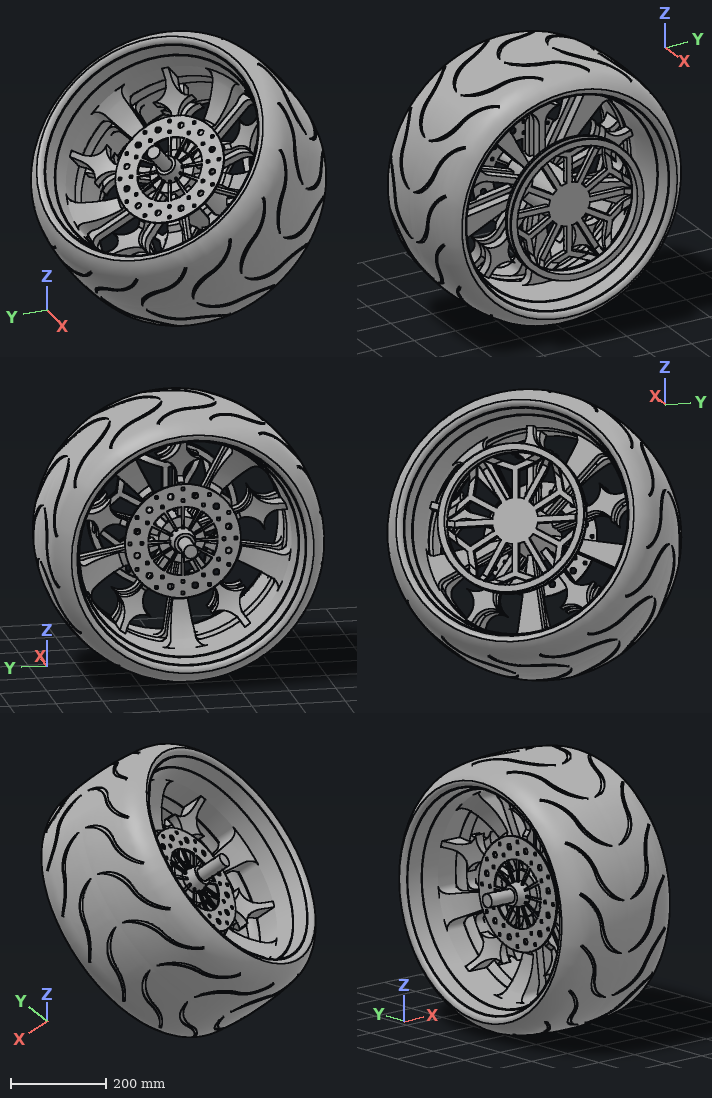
import cadquery as cq
import math


tyre_r = 300.0
half_width = 150.5
shoulder_x, shoulder_r = 98.5, 293.0
sidewall_r = 260.0
crown_mid_x, crown_mid_r = 49.0, 298.0
shoulder_mid_x, shoulder_mid_r = 128.0, 282.0

groove_count = 16
groove_depth = 3.5
groove_angle = 21.7
groove_plane_y = -240.0
groove_tool_length = 90.0
groove_outer_ends = (-116.5, 69.0), (-114.0, 72.0)
groove_outer_mids = (-88.0, 37.0), (-84.0, 41.5)
groove_waist = (-74.0, -3.0), (-66.5, -3.0)
groove_inner_mids = (-57.0, -47.0), (-51.5, -41.0)
groove_tip = (-11.0, -74.0)

bead_x, bead_r = 141.5, 246.0
lip_mid_x, lip_mid_r = 148.0, 251.0
barrel_x, barrel_r = 109.0, 237.0
rim_step = 2.5

window_r = 228.0
window_front_x = -71.0
window_back_x = -21.5
dish_mid_x, dish_mid_r = -24.5, 162.0
valley_x, valley_r = -18.0, 134.5
boss_x, boss_r = -27.0, 122.5
web_back_x, web_back_r = -8.5, 198.0

rear_web_front_x = 9.5
rear_web_back_x = 33.0
relief_r = barrel_r - 3.0
relief_x = window_back_x + 6.0
relief_mid_x, relief_mid_r = 0.0, 231.5

spoke_count = 5
first_spoke_angle = -90.0
spoke_corner_r = 17.0
spoke_half_per_radius = 0.14
spoke_half_offset = -2.5
star_arm_half = 7.0
star_inner_r = 139.0
star_inner_mid = (161.0, 17.5)
star_tip = (173.5, 44.5)
star_outer_mid = (185.0, 19.0)
star_outer_r = 210.0
window_tool_half = 120.0

hub_r = 100.0 / 2
hub_front_x = -36.0
nose_x = -68.0
nose_base_r = 27.0
nose_face_r = 22.0
shaft_x = -132.0
shaft_r = 30.0 / 2

disc_r = 248.5 / 2
disc_x = -48.0
disc_thick = 3.5
disc_bore_r = 74.5
arm_count = 12
arm_pitch = 360 / arm_count
disc_arm_outer_w = 6.5
disc_arm_inner_w = 3.5
small_hole_r = 7.0 / 2
small_hole_circles = (88.0, 113.5)
big_hole_r = 12.5 / 2
big_hole_circle = 101.5

pulley_x = 159.5
pulley_end_x = 184.0
pulley_r = 300.0 / 2
flange_r = 320.0 / 2
pulley_bore_r = 290.0 / 2
front_flange_thick = 6.5
rear_flange_thick = 4.0

spider_r = 146.5
spider_edge_x = 155.5
spider_mid_x, spider_mid_r = 144.0, 137.5
spider_front_x, spider_front_r = 138.0, 108.0
spider_back_x, spider_back_r = 150.0, 132.0
spider_arm_w = 13.0
fork_r = 113.5
fork_end_angle = 5.0

overlap = 6.0


def turned(outline):
    """Solid of revolution about X from an open outline of (x, radius) points."""
    return outline.close().revolve(360, (0, 0, 0), (1, 0, 0))


def facing_x(x):
    """Workplane at `x` whose local axes are Y and Z."""
    return cq.Workplane("YZ", origin=(x, 0, 0))


def cylinder(radius, x_start, x_end):
    return facing_x(x_start).circle(radius).extrude(x_end - x_start)


def ring(outer, inner, x_start, x_end):
    return facing_x(x_start).circle(outer).circle(inner).extrude(x_end - x_start)


def spun(shape, angle):
    return shape.rotate((0, 0, 0), (1, 0, 0), angle)


def circular_pattern(shape, count, start=0.0):
    copies = cq.Workplane("YZ")
    for i in range(count):
        copies = copies.add(spun(shape, start + 360 * i / count))
    return copies.combine()


def crown(drop):
    """Open tread outline from the -X sidewall to the +X sidewall, lowered by `drop`."""
    return (
        cq.Workplane("XY")
        .moveTo(-half_width, sidewall_r - drop)
        .threePointArc((-shoulder_mid_x, shoulder_mid_r - drop), (-shoulder_x, shoulder_r - drop))
        .threePointArc((-crown_mid_x, crown_mid_r - drop), (0, tyre_r - drop))
        .threePointArc((crown_mid_x, crown_mid_r - drop), (shoulder_x, shoulder_r - drop))
        .threePointArc((shoulder_mid_x, shoulder_mid_r - drop), (half_width, sidewall_r - drop))
    )


def tyre_and_rim():
    """Tyre and stepped rim, turned as one ring."""
    return turned(
        crown(0)
        .threePointArc((lip_mid_x, lip_mid_r), (bead_x, bead_r))
        .lineTo(bead_x, bead_r - rim_step)
        .lineTo(barrel_x, barrel_r)
        .lineTo(barrel_x, barrel_r - rim_step)
        .lineTo(rear_web_back_x, window_r)
        .lineTo(rear_web_front_x, window_r)
        .threePointArc((relief_mid_x, relief_mid_r), (relief_x, relief_r))
        .lineTo(window_back_x, window_r)
        .lineTo(window_front_x, window_r)
        .lineTo(-barrel_x, barrel_r - rim_step)
        .lineTo(-barrel_x, barrel_r)
        .lineTo(-bead_x, bead_r - rim_step)
        .lineTo(-bead_x, bead_r)
        .threePointArc((-lip_mid_x, lip_mid_r), (-half_width, sidewall_r))
    )


def tread_grooves():
    """Mirrored rows of S-shaped grooves that taper to a point near the tyre's middle."""
    outline = (
        cq.Workplane("XZ", origin=(0, groove_plane_y, 0))
        .moveTo(*groove_outer_ends[0])
        .threePointArc(groove_outer_mids[0], groove_waist[0])
        .threePointArc(groove_inner_mids[0], groove_tip)
        .threePointArc(groove_inner_mids[1], groove_waist[1])
        .threePointArc(groove_outer_mids[1], groove_outer_ends[1])
        .close()
    )
    left = spun(outline.extrude(groove_tool_length), -groove_angle)
    pair = left.union(left.mirror("YZ"))
    outer = tyre_r + overlap
    skin = turned(crown(groove_depth).lineTo(half_width, outer).lineTo(-half_width, outer))
    return circular_pattern(pair.intersect(skin), groove_count)


def front_web():
    """Dished layer that fills the rim before the windows are cut."""
    return turned(
        cq.Workplane("XY")
        .moveTo(boss_x, 0)
        .lineTo(boss_x, boss_r)
        .lineTo(valley_x, valley_r)
        .threePointArc((dish_mid_x, dish_mid_r), (window_front_x, window_r))
        .lineTo(window_front_x, barrel_r)
        .lineTo(window_back_x, barrel_r)
        .lineTo(window_back_x, window_r)
        .lineTo(web_back_x, web_back_r)
        .lineTo(web_back_x, 0)
    )


def rear_web():
    """Flat second layer behind the dished one."""
    return cylinder(barrel_r, rear_web_front_x, rear_web_back_x)


def spoke_half(radius):
    return spoke_half_per_radius * radius + spoke_half_offset


def tapered_spoke():
    start = hub_r - overlap
    return (
        facing_x(-window_tool_half)
        .moveTo(start, -spoke_half(start))
        .lineTo(tyre_r, -spoke_half(tyre_r))
        .lineTo(tyre_r, spoke_half(tyre_r))
        .lineTo(start, spoke_half(start))
        .close()
        .extrude(2 * window_tool_half)
    )


def star_spoke():
    """Narrow spoke that swells into a four-pointed star."""

    def opposite(point):
        return (point[0], -point[1])

    start = hub_r - overlap
    return (
        facing_x(-window_tool_half)
        .moveTo(start, -star_arm_half)
        .lineTo(star_inner_r, -star_arm_half)
        .threePointArc(opposite(star_inner_mid), opposite(star_tip))
        .threePointArc(opposite(star_outer_mid), (star_outer_r, -star_arm_half))
        .lineTo(tyre_r, -star_arm_half)
        .lineTo(tyre_r, star_arm_half)
        .lineTo(star_outer_r, star_arm_half)
        .threePointArc(star_outer_mid, star_tip)
        .threePointArc(star_inner_mid, (star_inner_r, star_arm_half))
        .lineTo(start, star_arm_half)
        .close()
        .extrude(2 * window_tool_half)
    )


def windows():
    """Openings between the hub and the rim, with the spokes left out."""
    openings = ring(window_r, hub_r, -window_tool_half, window_tool_half)
    openings = openings.cut(circular_pattern(tapered_spoke(), spoke_count, first_spoke_angle))
    everywhere = cq.selectors.BoxSelector((-tyre_r, -tyre_r, -tyre_r), (tyre_r, tyre_r, tyre_r))
    near_hub = cq.selectors.BoxSelector((-tyre_r, -valley_r, -valley_r), (tyre_r, valley_r, valley_r))
    rim_corners = cq.selectors.SubtractSelector(everywhere, near_hub)
    openings = openings.edges("|X").edges(rim_corners).fillet(spoke_corner_r)
    half_pitch = 180 / spoke_count
    return openings.cut(circular_pattern(star_spoke(), spoke_count, first_spoke_angle + half_pitch))


def hub():
    nose = turned(
        cq.Workplane("XY")
        .moveTo(nose_x, 0)
        .lineTo(nose_x, nose_face_r)
        .lineTo(disc_x, nose_base_r)
        .lineTo(hub_front_x, nose_base_r)
        .lineTo(hub_front_x, 0)
    )
    core = cylinder(hub_r, hub_front_x, spider_back_x)
    shaft = cylinder(shaft_r, shaft_x, nose_x + overlap)
    return core.union(nose).union(shaft)


def disc_arm():
    """Tapered arm that ties the disc to the nose of the hub."""
    end = disc_bore_r + overlap / 2
    return (
        facing_x(disc_x)
        .moveTo(shaft_r, -disc_arm_inner_w / 2)
        .lineTo(end, -disc_arm_outer_w / 2)
        .lineTo(end, disc_arm_outer_w / 2)
        .lineTo(shaft_r, disc_arm_inner_w / 2)
        .close()
        .extrude(disc_thick)
    )


def disc_holes(circle_r, hole_r, start):
    face = facing_x(disc_x)
    return face.polarArray(circle_r, start, 360, arm_count).circle(hole_r).extrude(disc_thick)


def drilled_disc():
    disc = ring(disc_r, disc_bore_r, disc_x, disc_x + disc_thick)
    disc = disc.union(circular_pattern(disc_arm(), arm_count))
    for circle_r in small_hole_circles:
        disc = disc.cut(disc_holes(circle_r, small_hole_r, 0))
    return disc.cut(disc_holes(big_hole_circle, big_hole_r, arm_pitch / 2))


def pulley():
    front_flange = ring(flange_r, pulley_bore_r, pulley_x, pulley_x + front_flange_thick)
    rear_flange = ring(flange_r, pulley_bore_r, pulley_end_x - rear_flange_thick, pulley_end_x)
    drum = ring(pulley_r, pulley_bore_r, pulley_x, pulley_end_x)
    return drum.union(front_flange).union(rear_flange)


def polar_point(radius, angle):
    return radius * math.cos(math.radians(angle)), radius * math.sin(math.radians(angle))


def bar(start, end):
    """Straight bar of the spider between two (radius, angle) points."""
    y0, z0 = polar_point(*start)
    y1, z1 = polar_point(*end)
    length = math.hypot(y1 - y0, z1 - z0)
    blank = facing_x(0).rect(length, spider_arm_w).extrude(pulley_end_x)
    turned_blank = spun(blank, math.degrees(math.atan2(z1 - z0, y1 - y0)))
    return turned_blank.translate((0, (y0 + y1) / 2, (z0 + z1) / 2))


def spider():
    """Domed arms that carry the pulley; every second arm forks towards its two neighbours."""
    start = hub_r - overlap
    end = spider_r + overlap
    fork = (fork_r, arm_pitch)
    group = (
        bar((start, 0), (end, 0))
        .union(bar((start, arm_pitch), fork))
        .union(bar(fork, (end, fork_end_angle)))
        .union(bar(fork, (end, 2 * arm_pitch - fork_end_angle)))
    )
    dome = turned(
        cq.Workplane("XY")
        .moveTo(spider_front_x, 0)
        .lineTo(spider_front_x, spider_front_r)
        .threePointArc((spider_mid_x, spider_mid_r), (spider_edge_x, spider_r))
        .lineTo(pulley_x, spider_r)
        .lineTo(pulley_x, pulley_bore_r)
        .lineTo(spider_back_x, spider_back_r)
        .lineTo(spider_back_x, 0)
    )
    lip = ring(spider_r, pulley_bore_r, spider_edge_x, pulley_x + front_flange_thick)
    return dome.intersect(circular_pattern(group, arm_count // 2)).union(lip)


wheel = tyre_and_rim().union(front_web()).union(rear_web()).cut(windows())
wheel = wheel.cut(tread_grooves(), clean=False)
for body in (hub(), drilled_disc(), spider(), pulley()):
    wheel = wheel.union(body, clean=False)
result = wheel